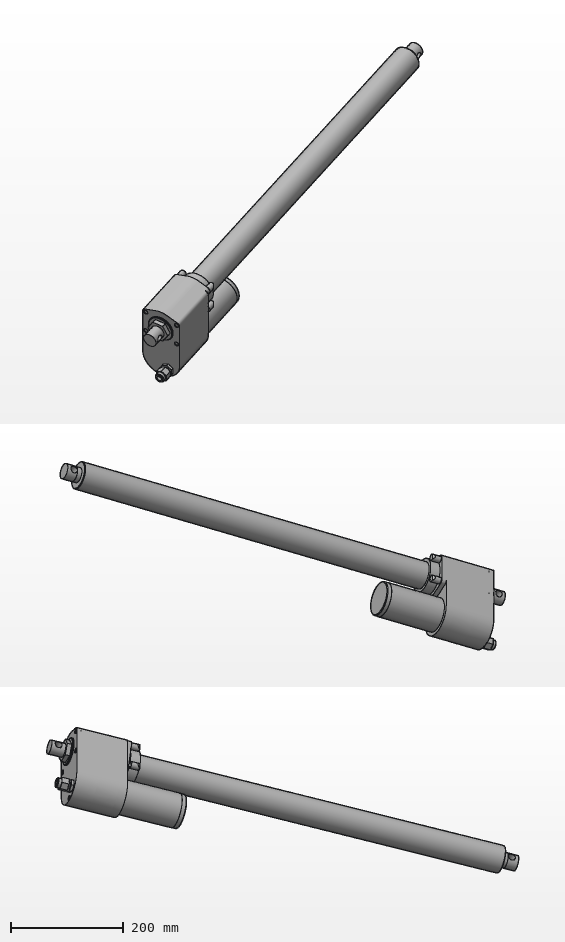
import cadquery as cq
import math


overall_length = 886.5
housing_width = 77.16
housing_height = 151.66

housing_radius = housing_width / 2
motor_z = 2 * housing_radius - housing_height
lower_housing_depth = 96.5
upper_housing_depth = 105.3
front_cover_depth = 40.3
middle_depth = 40.4
roof_slope = math.radians(18)
roof_corner_radius = 6.5

screw_x = 32.2
screw_z = 22.5
bottom_screw_z = motor_z - screw_x
screw_recess_diameter = 8.5
screw_recess_depth = 9.0
screw_head_diameter = 7.2
screw_head_setback = 1.0

eye_end_y = -37.4
eye_diameter = 26.0
eye_flange_diameter = 50.8
eye_flange_thickness = 2.7
eye_flange_chamfer = 1.3
eye_nut_flats = 36.0
eye_nut_end_y = -11.0
pin_hole_diameter = 13.0
pin_hole_inset = 13.0

gland_x = 14.7
gland_z = -91.8
gland_hex_flats = 20.8
gland_hex_turn = 30.0
gland_base_end_y = -5.0
gland_neck_diameter = 13.0
gland_nut_start_y = -9.0
gland_nut_end_y = -22.5
gland_cap_diameter = 18.0
gland_cap_chamfer = 1.5
gland_end_y = -29.7
cable_hole_diameter = 9.0
cable_hole_depth = 12.0

tube_diameter = 50.8
tube_end_y = 820.5
tube_end_chamfer = 1.3
collar_diameter = 63.0
collar_length = 18.7
lug_x = 30.0
lug_z = 22.0
lug_radius = 6.3
lug_length = 16.5
lug_reach_x = 37.0
lug_straight_length = 11.0

motor_diameter = 63.5
motor_end_y = 212.0
motor_cap_diameter = 63.0
motor_cap_length = 9.0
motor_cap_chamfer = 1.5

rod_end_y = overall_length + eye_end_y
rod_diameter = 28.0
rod_eye_diameter = 28.6
rod_eye_length = 20.0
rod_start_y = upper_housing_depth


def plane_at(y, x=0.0, z=0.0):
    """Work plane facing +Y, with its own x along X and its own y along -Z."""
    return cq.Workplane(cq.Plane(origin=(x, y, z), xDir=(1, 0, 0), normal=(0, 1, 0)))


def cylinder(diameter, start_y, end_y, x=0.0, z=0.0):
    return plane_at(start_y, x, z).circle(diameter / 2).extrude(end_y - start_y)


def hexagon(flats, start_y, end_y, x=0.0, z=0.0, turn=0.0):
    across_corners = flats / math.cos(math.pi / 6)
    prism = plane_at(start_y, x, z).polygon(6, across_corners).extrude(end_y - start_y)
    return prism.rotate((x, 0, z), (x, 1, z), turn)


def cross_hole(y):
    """Pin hole along X through an eye on the tube axis."""
    return cq.Workplane("YZ").center(y, 0).circle(pin_hole_diameter / 2).extrude(housing_radius, both=True)


roof_arc_x = housing_radius * math.sin(roof_slope)
roof_arc_z = housing_radius * math.cos(roof_slope)
roof_corner_z = roof_arc_z - (housing_radius - roof_arc_x) * math.tan(roof_slope)


def add_roof(outline, side):
    """Run a roof across the outline from x = -radius to +radius; side is +1 for top, -1 for bottom."""
    return (
        outline.lineTo(-side * roof_arc_x, side * roof_arc_z)
        .threePointArc((0, side * housing_radius), (side * roof_arc_x, side * roof_arc_z))
        .lineTo(side * housing_radius, side * roof_corner_z)
    )


def roof_corners(block, side):
    """Select the two sharp lengthwise edges at the ends of a roof."""
    reach = housing_radius + 1
    zone = cq.selectors.BoxSelector(
        (-reach, -1, side * roof_corner_z - 1),
        (reach, overall_length, side * roof_corner_z + 1),
    )
    return block.edges("|Y").edges(zone)


def housing_slice(start_y, end_y):
    """Slice of the housing with a domed roof and a half-round foot around the motor axis."""
    outline = cq.Workplane("XZ", origin=(0, end_y, 0)).moveTo(-housing_radius, roof_corner_z)
    outline = add_roof(outline, 1).lineTo(housing_radius, motor_z)
    outline = outline.threePointArc((0, motor_z - housing_radius), (-housing_radius, motor_z))
    block = outline.close().extrude(end_y - start_y)
    return roof_corners(block, 1).fillet(roof_corner_radius)


def rear_housing(start_y):
    """Rear part of the housing, whose upper half is deeper and domed above and below the tube axis."""
    depth = upper_housing_depth - start_y
    outline = cq.Workplane("XZ", origin=(0, upper_housing_depth, 0)).moveTo(-housing_radius, roof_corner_z)
    outline = add_roof(add_roof(outline, 1), -1)
    block = outline.close().extrude(depth)
    for side in (1, -1):
        block = roof_corners(block, side).fillet(roof_corner_radius)
    return housing_slice(start_y, lower_housing_depth).union(block)


def collar():
    """Round collar at the tube's root, with four screw lugs that taper towards the tube."""
    end_y = upper_housing_depth + collar_length
    lug_end_y = upper_housing_depth + lug_length
    taper_y = upper_housing_depth + lug_straight_length
    lugs = cq.Workplane("XY")
    for x in (-lug_x, lug_x):
        for z in (-lug_z, lug_z):
            lugs = lugs.union(cylinder(2 * lug_radius, upper_housing_depth, lug_end_y, x, z))
    envelope = (
        cq.Workplane("XY")
        .polyline([
            (-lug_reach_x, upper_housing_depth),
            (lug_reach_x, upper_housing_depth),
            (lug_reach_x, taper_y),
            (collar_diameter / 2, end_y),
            (-collar_diameter / 2, end_y),
            (-lug_reach_x, taper_y),
        ])
        .close()
        .extrude(housing_radius, both=True)
    )
    return cylinder(collar_diameter, upper_housing_depth, end_y).union(lugs.intersect(envelope))


def tube():
    return cylinder(tube_diameter, upper_housing_depth, tube_end_y).faces(">Y").chamfer(tube_end_chamfer)


def motor():
    cap_start_y = motor_end_y - motor_cap_length
    can = cylinder(motor_diameter, lower_housing_depth, cap_start_y, z=motor_z)
    cap = cylinder(motor_cap_diameter, cap_start_y, motor_end_y, z=motor_z)
    return can.union(cap.faces(">Y").chamfer(motor_cap_chamfer))


def rear_eye():
    flange = cylinder(eye_flange_diameter, -eye_flange_thickness, 0).faces("<Y").chamfer(eye_flange_chamfer)
    nut = hexagon(eye_nut_flats, eye_nut_end_y, -eye_flange_thickness)
    eye = cylinder(eye_diameter, eye_end_y, eye_nut_end_y)
    return flange.union(nut).union(eye).cut(cross_hole(eye_end_y + pin_hole_inset))


def cable_gland():
    base = hexagon(gland_hex_flats, gland_base_end_y, 0, gland_x, gland_z, gland_hex_turn)
    neck = cylinder(gland_neck_diameter, gland_nut_start_y, gland_base_end_y, gland_x, gland_z)
    nut = hexagon(gland_hex_flats, gland_nut_end_y, gland_nut_start_y, gland_x, gland_z, gland_hex_turn)
    cap = cylinder(gland_cap_diameter, gland_end_y, gland_nut_end_y, gland_x, gland_z)
    cap = cap.faces("<Y").chamfer(gland_cap_chamfer)
    cable_hole = cylinder(cable_hole_diameter, gland_end_y, gland_end_y + cable_hole_depth, gland_x, gland_z)
    return base.union(neck).union(nut).union(cap).cut(cable_hole)


def screw_recesses():
    """Round recesses in the front face, each leaving a screw head standing just below the face."""
    places = [(x, z) for x in (-screw_x, screw_x) for z in (-screw_z, screw_z)]
    places.append((0, bottom_screw_z))
    recesses = cq.Workplane("XY")
    for x, z in places:
        recess = cylinder(screw_recess_diameter, 0, screw_recess_depth, x, z)
        head = cylinder(screw_head_diameter, screw_head_setback, screw_recess_depth, x, z)
        recesses = recesses.union(recess.cut(head))
    return recesses


def make_actuator_body():
    """Housing with its tube, motor, rear eye and cable gland, bored for the piston rod."""
    middle_end_y = front_cover_depth + middle_depth
    body = housing_slice(0, front_cover_depth).cut(screw_recesses())
    body = body.union(housing_slice(front_cover_depth, middle_end_y), clean=False)
    body = body.union(rear_housing(middle_end_y), clean=False)
    for feature in (collar(), tube(), motor(), rear_eye(), cable_gland()):
        body = body.union(feature, clean=False)
    return body.cut(cylinder(rod_diameter, rod_start_y, tube_end_y), clean=False)


def make_piston_rod():
    """Rod filling the tube's bore, with a slightly larger drilled eye at its outer end."""
    eye_start_y = rod_end_y - rod_eye_length
    rod = cylinder(rod_diameter, rod_start_y, eye_start_y)
    eye = cylinder(rod_eye_diameter, eye_start_y, rod_end_y)
    return rod.union(eye).cut(cross_hole(rod_end_y - pin_hole_inset))


actuator_body = make_actuator_body()
piston_rod = make_piston_rod()

result = cq.Compound.makeCompound([actuator_body.val(), piston_rod.val()])